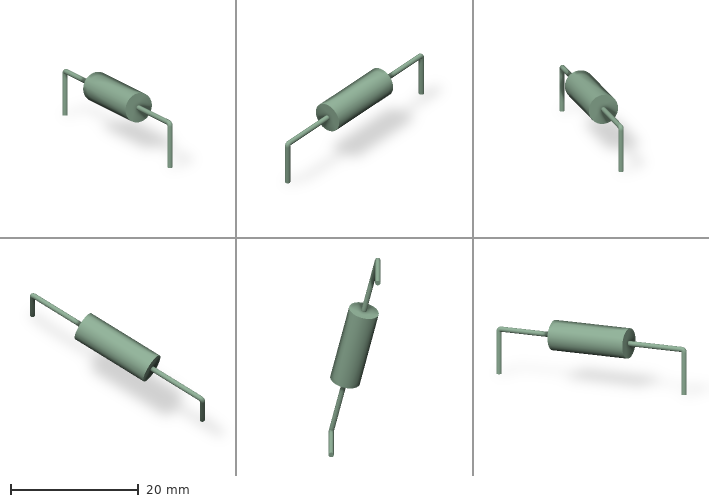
import cadquery as cq

overall_length = 33.03
overall_height = 9.6
body_diameter = 4.8
body_length = 13.0
lead_diameter = 0.83
bend_radius = 0.43

lead_radius = lead_diameter / 2
leg_x = overall_length / 2 - lead_radius
bend_start_x = leg_x - bend_radius
leg_bottom_z = body_diameter / 2 - overall_height
leg_length = -bend_radius - leg_bottom_z


def make_body():
    """Plain cylinder along X, centred on the origin."""
    return (
        cq.Workplane("YZ", origin=(-body_length / 2, 0, 0))
        .circle(body_diameter / 2)
        .extrude(body_length)
    )


def make_lead(side):
    """Round wire from a body end face, bent down to a leg; side is +1 or -1 along X."""
    straight_length = bend_start_x - body_length / 2
    straight = (
        cq.Workplane("YZ", origin=(side * body_length / 2, 0, 0))
        .circle(lead_radius)
        .extrude(side * straight_length)
    )
    bend = (
        cq.Workplane("YZ", origin=(side * bend_start_x, 0, 0))
        .circle(lead_radius)
        .revolve(90, (0, -bend_radius, 0), (side, -bend_radius, 0))
    )
    leg = (
        cq.Workplane("XY", origin=(side * leg_x, 0, -bend_radius))
        .circle(lead_radius)
        .extrude(-leg_length)
    )
    return straight.union(bend).union(leg)


body = make_body()
leads = [make_lead(side) for side in (-1, 1)]

result = cq.Compound.makeCompound([body.val(), *[lead.val() for lead in leads]])